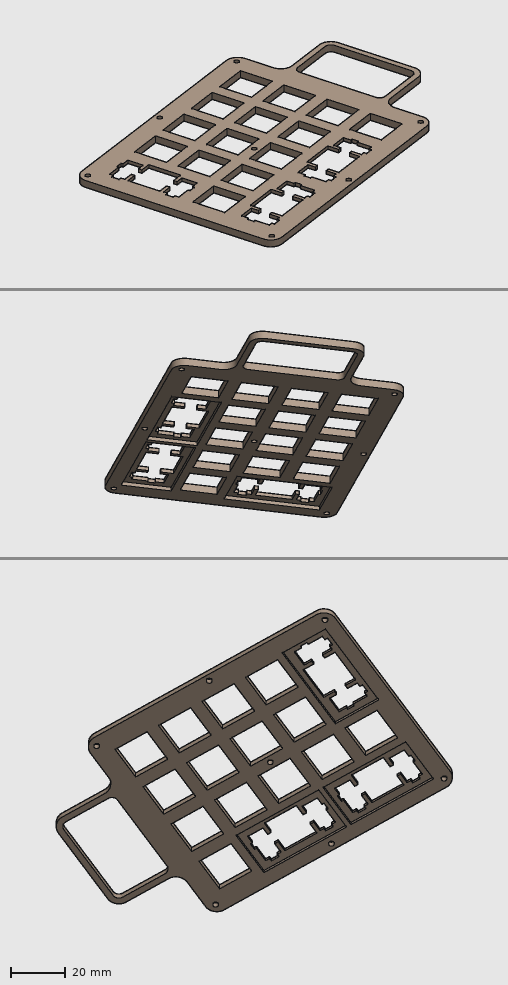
import cadquery as cq

thickness = 3.0
key_pitch = 19.05
columns = 4
rows = 5
border = 6.0
plate_width = columns * key_pitch + 2 * border
plate_length = rows * key_pitch + 2 * border
corner_radius = 5.0

handle_width = 43.5
handle_reach = 28.5
handle_bar = 2.5
handle_window_radius = corner_radius - handle_bar

switch_size = 14.0

stabilizer_offset = 11.9
housing_width = 6.7
housing_top = 5.53
housing_bottom = -6.77
foot_width = 3.3
foot_bottom = -7.97
ear_reach = 16.1
ear_top = 2.3
ear_bottom = -0.5
bridge_top = 2.15
bridge_bottom = -2.45

lip_thickness = 1.5
recess_margin = 2.0

screw_diameter = 2.1
centre_hole_diameter = 2.0
corner_hole_inset = 3.6
side_hole_inset = 2.5


def block(x_min, x_max, y_min, y_max):
    """Rectangular block through the full plate thickness."""
    size_x = x_max - x_min
    size_y = y_max - y_min
    return cq.Workplane("XY").box(size_x, size_y, thickness, centered=False).translate((x_min, y_min, 0))


def key_centre(column, row):
    """Centre of a key; column 0 is at -X, row 0 at +Y, and halves lie between two keys."""
    x = (column - (columns - 1) / 2) * key_pitch
    y = ((rows - 1) / 2 - row) * key_pitch
    return (x, y, 0)


def make_plate():
    """Rounded plate joined to the handle outline."""
    half_width = plate_width / 2
    half_length = plate_length / 2
    half_handle = handle_width / 2
    body = block(-half_width, half_width, -half_length, half_length)
    handle = block(-half_handle, half_handle, 0, half_length + handle_reach)
    return body.union(handle).edges("|Z").fillet(corner_radius)


def make_handle_window():
    """Rounded opening inside the handle, one bar width clear of the plate edge."""
    half_window = handle_width / 2 - handle_bar
    y_min = plate_length / 2 + handle_bar
    y_max = plate_length / 2 + handle_reach - handle_bar
    return block(-half_window, half_window, y_min, y_max).edges("|Z").fillet(handle_window_radius)


def make_switch_opening():
    half = switch_size / 2
    return block(-half, half, -half, half)


def make_wide_key_opening():
    """Switch opening bridged to a stabilizer opening on either side."""
    half_housing = housing_width / 2
    half_foot = foot_width / 2
    opening = make_switch_opening()
    opening = opening.union(block(-stabilizer_offset, stabilizer_offset, bridge_bottom, bridge_top))
    opening = opening.union(block(-ear_reach, ear_reach, ear_bottom, ear_top))
    for x in (-stabilizer_offset, stabilizer_offset):
        opening = opening.union(block(x - half_housing, x + half_housing, housing_bottom, housing_top))
        opening = opening.union(block(x - half_foot, x + half_foot, foot_bottom, 0))
    return opening


def make_underside_recess():
    """Rectangular recess from the bottom face, one margin larger than the wide key opening."""
    half_length = ear_reach + recess_margin
    y_min = foot_bottom - recess_margin
    y_max = switch_size / 2 + recess_margin
    return block(-half_length, half_length, y_min, y_max).translate((0, 0, -lip_thickness))


def drill(plate, points, diameter):
    cutters = cq.Workplane("XY").pushPoints(points).circle(diameter / 2).extrude(thickness)
    return plate.cut(cutters)


result = make_plate().cut(make_handle_window())

single_keys = [(column, 0) for column in range(columns)]
for key_row in range(1, rows - 1):
    single_keys += [(column, key_row) for column in range(columns - 1)]
single_keys.append((columns - 2, rows - 1))
for column, key_row in single_keys:
    result = result.cut(make_switch_opening().translate(key_centre(column, key_row)))

wide_key = make_wide_key_opening().union(make_underside_recess())
tall_key = wide_key.rotate((0, 0, 0), (0, 0, 1), 90)
result = result.cut(wide_key.translate(key_centre(0.5, rows - 1)))
for key_row in (1.5, 3.5):
    result = result.cut(tall_key.translate(key_centre(columns - 1, key_row)))

corner_x = plate_width / 2 - corner_hole_inset
corner_y = plate_length / 2 - corner_hole_inset
side_x = plate_width / 2 - side_hole_inset
screw_points = [(x, y) for x in (-corner_x, corner_x) for y in (-corner_y, corner_y)]
screw_points += [(-side_x, 0), (side_x, 0)]
result = drill(result, screw_points, screw_diameter)
result = drill(result, [(0, 0)], centre_hole_diameter)